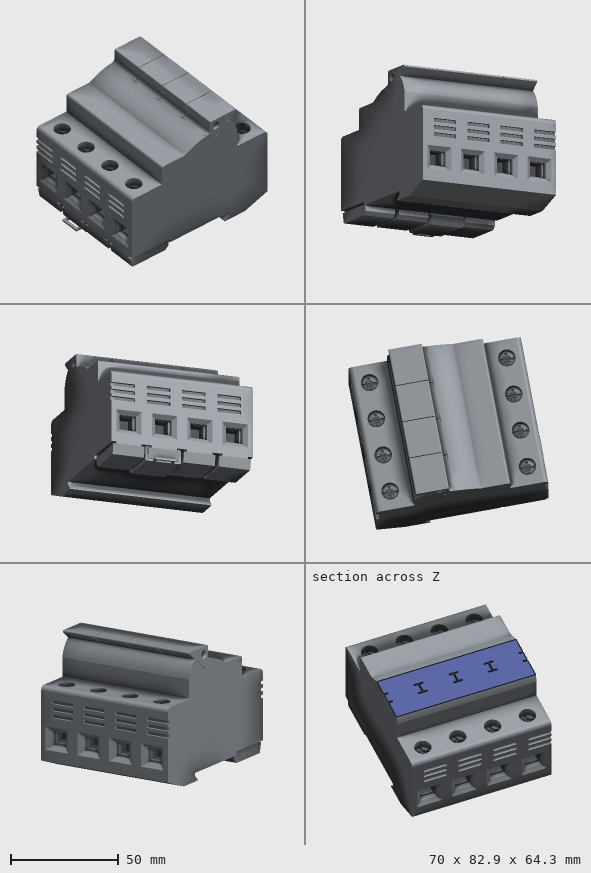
import cadquery as cq
import math


WIDTH = 70.0
POLES = 4
PITCH = WIDTH / POLES
POLE_EDGES = [i * PITCH for i in range(POLES + 1)]
POLE_CENTRES = [(i + 0.5) * PITCH for i in range(POLES)]
DEPTH = 81.15
TOP_Z = 63.3

SHOULDER_Z = 40.95
SHOULDER_RADIUS = 2.2
STEP_Z = 51.2
STEP_RADIUS = 1.2
TOWER_FRONT_Y = 17.9
TOWER_BACK_Y = 63.0
TOWER_ROOT_RADIUS = 0.4
TOWER_BACK_ARC_MID = (61.25, 55.2)
TOWER_BACK_ARC_END = (TOWER_BACK_Y, 50.4)
RAIL_Z = 4.2
FRONT_FOOT_RAKE = 1.1
FRONT_FOOT_BACK_Y = 22.6
FRONT_FOOT_CHAMFER = 1.8
BACK_FOOT_RISE = 5.0
BACK_FOOT_START_Y = 67.5
HOOK_TIP_Y = 55.5
HOOK_TIP_Z = 0.5
HOOK_ROOT_Y = 58.0
HOOK_ROOT_Z = 2.9
CREST_Y = 58.2
CREST_Z = 58.85
COVER_RADIUS = 36.5
COVER_CENTRE_Y = 51.2
COVER_CENTRE_Z = 20.4
COVER_END_Y = COVER_CENTRE_Y - math.sqrt(COVER_RADIUS**2 - (STEP_Z - COVER_CENTRE_Z) ** 2)

HANDLE_FRONT_Y = 46.75
HANDLE_BACK_Y = 62.5
HANDLE_LIP = 0.9
HANDLE_TIP = (48.1, 52.3)
HANDLE_SEAT_MID = (51.9, 54.4)
HANDLE_SEAT_END = (55.9, CREST_Z)
HANDLE_FOOT_Y = 44.6
HANDLE_FOOT_RADIUS = 1.6
HANDLE_EDGE_RADIUS = 0.6
HANDLE_GAP = 0.3
SEAT_CLEARANCE = 0.25
POLE_WALL = 2.1
SEAL_HOLE_Y = 50.4
SEAL_HOLE_Z = 59.5
SEAL_HOLE_RADIUS = 1.6
SEAL_RIM_RADIUS = 2.1

VENT_WIDTH = 11.6
VENT_HEIGHT = 1.7
VENT_DEPTH = 1.4
VENT_BOTTOM_Z = 26.4
VENT_SPACING = 3.4
VENT_ROWS = 3

FUNNEL_MOUTH = 12.4
FUNNEL_THROAT = 8.1
FUNNEL_DEPTH = 1.65
MOUTH_BOTTOM_Z = 10.5
MOUTH_TOP_Z = 21.8
THROAT_BOTTOM_Z = 12.4
THROAT_TOP_Z = 19.8
THROAT_DEPTH = 4.0
CLAMP_WIDTH = 6.5
CLAMP_BOTTOM_Z = 13.4
CLAMP_DEPTH = 9.95

SCREW_INSET = 8.2
SCREW_RADIUS = 4.1
SCREW_RIM_DEPTH = 4.3
SCREW_DOME = 1.1
CROSS_LENGTH = 6.5
CROSS_WIDTH = 1.3
CROSS_DEPTH = 2.1
SLOT_DEPTH = 0.8
STAR_LENGTH = 4.3
STAR_WIDTH = 0.75
PIT_RADIUS = 1.2
PIT_DEPTH = 2.9

GROOVE_TOP_Z = 6.05
GROOVE_STEP_Z = 5.05
GROOVE_HALF_WIDTH = 2.5
GROOVE_HALF_NECK = 1.0
LATCH_THICKNESS = 1.0
LATCH_POLE = 1
LATCH_FRONT_Y = 1.6
LATCH_BEND_RADIUS = 0.9
BEAK_TIP = (25.1, 2.5)
BEAK_TOP_Z = 3.5
BEAK_BOTTOM_Y = 21.8
FLANGE_WIDTH = 2.3
TAB_WIDTH = 10.1
TAB_REACH = 1.7
TAB_SLOT_WIDTH = 7.5
TAB_SLOT_FRONT_Y = -0.3


def box(x0, x1, y0, y1, z0, z1):
    """Box between opposite corners."""
    return cq.Workplane("XY").box(x1 - x0, y1 - y0, z1 - z0, centered=False).translate((x0, y0, z0))


def side_plane(x=0.0):
    """Sketch plane at the given X whose local axes are Y and Z."""
    return cq.Workplane("YZ", origin=(x, 0, 0))


def mirror_to_back(shape):
    """Copy of a front feature on the back half of the housing."""
    return shape.mirror("XZ", (0, DEPTH / 2, 0))


def cover_point(y):
    """Point on the arched cover at the given Y."""
    return y, COVER_CENTRE_Z + math.sqrt(COVER_RADIUS**2 - (y - COVER_CENTRE_Y) ** 2)


HANDLE_FOOT = cover_point(HANDLE_FOOT_Y)
COVER_TOP = cover_point(HANDLE_FRONT_Y - HANDLE_FOOT_RADIUS)


def make_housing():
    """Side outline with the front foot, the fixed rail hook and the arched cover."""
    root_top_z = SHOULDER_Z + TOWER_ROOT_RADIUS
    housing = (
        side_plane()
        .moveTo(FRONT_FOOT_RAKE, 0)
        .lineTo(0, GROOVE_STEP_Z)
        .lineTo(0, SHOULDER_Z)
        .lineTo(TOWER_FRONT_Y - TOWER_ROOT_RADIUS, SHOULDER_Z)
        .radiusArc((TOWER_FRONT_Y, root_top_z), -TOWER_ROOT_RADIUS)
        .lineTo(TOWER_FRONT_Y, STEP_Z)
        .lineTo(COVER_END_Y, STEP_Z)
        .radiusArc(COVER_TOP, COVER_RADIUS)
        .lineTo(*HANDLE_TIP)
        .lineTo(*HANDLE_SEAT_END)
        .lineTo(CREST_Y, CREST_Z)
        .threePointArc(TOWER_BACK_ARC_MID, TOWER_BACK_ARC_END)
        .lineTo(TOWER_BACK_Y, root_top_z)
        .radiusArc((TOWER_BACK_Y + TOWER_ROOT_RADIUS, SHOULDER_Z), -TOWER_ROOT_RADIUS)
        .lineTo(DEPTH, SHOULDER_Z)
        .lineTo(DEPTH, BACK_FOOT_RISE)
        .lineTo(BACK_FOOT_START_Y, 0)
        .lineTo(HOOK_TIP_Y, 0)
        .lineTo(HOOK_TIP_Y, HOOK_TIP_Z)
        .lineTo(HOOK_ROOT_Y, HOOK_ROOT_Z)
        .lineTo(HOOK_ROOT_Y, RAIL_Z)
        .lineTo(FRONT_FOOT_BACK_Y, RAIL_Z)
        .lineTo(FRONT_FOOT_BACK_Y, FRONT_FOOT_CHAMFER)
        .lineTo(FRONT_FOOT_BACK_Y - FRONT_FOOT_CHAMFER, 0)
        .close()
        .extrude(WIDTH)
    )
    for y in (0, DEPTH):
        edge = cq.selectors.NearestToPointSelector((WIDTH / 2, y, SHOULDER_Z))
        housing = housing.edges(edge).fillet(SHOULDER_RADIUS)
    edge = cq.selectors.NearestToPointSelector((WIDTH / 2, TOWER_FRONT_Y, STEP_Z))
    return housing.edges(edge).fillet(STEP_RADIUS)


def make_handle(x, length):
    """Swing-out fuse carrier profile, with its foot down in the housing, extruded from the given X."""
    handle = (
        side_plane(x)
        .moveTo(*HANDLE_FOOT)
        .radiusArc(COVER_TOP, COVER_RADIUS)
        .radiusArc((HANDLE_FRONT_Y, COVER_TOP[1] + HANDLE_FOOT_RADIUS), -HANDLE_FOOT_RADIUS)
        .lineTo(HANDLE_FRONT_Y, TOP_Z)
        .lineTo(HANDLE_BACK_Y, TOP_Z)
        .lineTo(HANDLE_BACK_Y, TOP_Z - HANDLE_LIP)
        .lineTo(CREST_Y, CREST_Z)
        .lineTo(*HANDLE_SEAT_END)
        .threePointArc(HANDLE_SEAT_MID, HANDLE_TIP)
        .close()
        .extrude(length)
    )
    return handle.faces(">Z").edges("|X").fillet(HANDLE_EDGE_RADIUS)


def make_seal_hole():
    """Sealing hole through all handles along X, chamfered at both ends."""
    hole = side_plane().center(SEAL_HOLE_Y, SEAL_HOLE_Z).circle(SEAL_HOLE_RADIUS).extrude(WIDTH)
    chamfer = SEAL_RIM_RADIUS - SEAL_HOLE_RADIUS
    for x, direction in ((0, 1), (WIDTH, -1)):
        rim = cq.Solid.makeCone(
            SEAL_RIM_RADIUS,
            SEAL_HOLE_RADIUS,
            chamfer,
            cq.Vector(x, SEAL_HOLE_Y, SEAL_HOLE_Z),
            cq.Vector(direction, 0, 0),
        )
        hole = hole.union(cq.Workplane(rim))
    return hole


def make_seat_clearance():
    """Thin gap around the handle feet, open to the cover, in the walls on both sides of each pole."""
    band = (
        side_plane()
        .moveTo(*HANDLE_FOOT)
        .lineTo(*HANDLE_TIP)
        .threePointArc(HANDLE_SEAT_MID, HANDLE_SEAT_END)
        .lineTo(CREST_Y, CREST_Z)
        .lineTo(CREST_Y, CREST_Z - SEAT_CLEARANCE)
        .lineTo(HANDLE_SEAT_END[0], CREST_Z - SEAT_CLEARANCE)
        .threePointArc(
            (HANDLE_SEAT_MID[0], HANDLE_SEAT_MID[1] - SEAT_CLEARANCE),
            (HANDLE_TIP[0], HANDLE_TIP[1] - SEAT_CLEARANCE),
        )
        .lineTo(*cover_point(HANDLE_FOOT_Y - SEAT_CLEARANCE))
        .lineTo(HANDLE_FOOT_Y - SEAT_CLEARANCE / 2, HANDLE_FOOT[1] + SEAT_CLEARANCE)
        .close()
        .extrude(WIDTH)
    )
    walls = cq.Workplane("XY")
    for x in POLE_EDGES:
        walls = walls.add(box(x - POLE_WALL, x + POLE_WALL, 0, DEPTH, 0, TOP_Z))
    return band.intersect(walls.combine())


def make_vents():
    """Rows of cooling slots in the front face; the first pole's open to the left side."""
    vents = cq.Workplane("XY")
    for x in POLE_EDGES[:-1]:
        for row in range(VENT_ROWS):
            z = VENT_BOTTOM_Z + row * VENT_SPACING
            vents = vents.add(box(x, x + VENT_WIDTH, 0, VENT_DEPTH, z, z + VENT_HEIGHT))
    return vents.combine()


def make_terminal(x):
    """Stepped wire entry with a tapered mouth."""
    funnel = (
        cq.Workplane("XZ")
        .center(x, (MOUTH_BOTTOM_Z + MOUTH_TOP_Z) / 2)
        .rect(FUNNEL_MOUTH, MOUTH_TOP_Z - MOUTH_BOTTOM_Z)
        .workplane(offset=-FUNNEL_DEPTH)
        .rect(FUNNEL_THROAT, THROAT_TOP_Z - THROAT_BOTTOM_Z)
        .loft(ruled=True)
    )
    half_throat = FUNNEL_THROAT / 2
    half_clamp = CLAMP_WIDTH / 2
    throat = box(x - half_throat, x + half_throat, FUNNEL_DEPTH, THROAT_DEPTH, THROAT_BOTTOM_Z, THROAT_TOP_Z)
    clamp = box(x - half_clamp, x + half_clamp, THROAT_DEPTH, CLAMP_DEPTH, CLAMP_BOTTOM_Z, THROAT_TOP_Z)
    return funnel.union(throat).union(clamp)


def make_screw_well():
    """Well down to a domed cross-slot screw head, centred on the Z axis."""
    rim_z = SHOULDER_Z - SCREW_RIM_DEPTH
    dome_z = rim_z + SCREW_DOME
    dome_radius = (SCREW_RADIUS**2 + SCREW_DOME**2) / (2 * SCREW_DOME)
    well = (
        cq.Workplane("XZ")
        .moveTo(0, SHOULDER_Z)
        .lineTo(SCREW_RADIUS, SHOULDER_Z)
        .lineTo(SCREW_RADIUS, rim_z)
        .radiusArc((0, dome_z), -dome_radius)
        .close()
        .revolve(360, (0, 0, 0), (0, 1, 0))
    )
    slot_height = SCREW_DOME + SLOT_DEPTH
    slot = cq.Workplane("XY", origin=(0, 0, dome_z - slot_height)).circle(SCREW_RADIUS).extrude(slot_height)
    slot = slot.intersect(cq.Workplane("XY").box(CROSS_WIDTH, 2 * SCREW_RADIUS, 2 * SHOULDER_Z))
    well = well.union(slot)
    recess_plane = cq.Workplane("XY", origin=(0, 0, dome_z - CROSS_DEPTH))
    bars = [(CROSS_LENGTH, CROSS_WIDTH, angle) for angle in (0, 90)]
    bars += [(STAR_LENGTH, STAR_WIDTH, angle) for angle in (45, 135)]
    for length, width, angle in bars:
        bar = recess_plane.rect(length, width).extrude(CROSS_DEPTH)
        well = well.union(bar.rotate((0, 0, 0), (0, 0, 1), angle))
    pit = cq.Workplane("XY", origin=(0, 0, dome_z - PIT_DEPTH)).circle(PIT_RADIUS).extrude(PIT_DEPTH)
    return well.union(pit)


def make_foot_groove(x):
    """T-shaped groove under the front foot at a pole boundary."""
    wide = box(
        x - GROOVE_HALF_WIDTH, x + GROOVE_HALF_WIDTH, 0, FRONT_FOOT_BACK_Y, GROOVE_STEP_Z, GROOVE_TOP_Z
    )
    neck = box(x - GROOVE_HALF_NECK, x + GROOVE_HALF_NECK, 0, FRONT_FOOT_BACK_Y, 0, GROOVE_STEP_Z)
    return wide.union(neck)


def make_latch():
    """Sliding latch: a folded channel around one pole's foot, a rail beak and a pull tab."""
    left = POLE_EDGES[LATCH_POLE]
    right = left + PITCH
    centre = POLE_CENTRES[LATCH_POLE]
    inner_left = left + LATCH_THICKNESS
    inner_right = right - LATCH_THICKNESS
    back = FRONT_FOOT_BACK_Y

    outline = (
        side_plane(left)
        .moveTo(LATCH_FRONT_Y, -LATCH_THICKNESS)
        .lineTo(LATCH_FRONT_Y, GROOVE_TOP_Z)
        .lineTo(back, GROOVE_TOP_Z)
        .lineTo(back, BEAK_TOP_Z)
        .lineTo(*BEAK_TIP)
        .lineTo(BEAK_BOTTOM_Y, -LATCH_THICKNESS)
        .close()
        .extrude(PITCH)
    )
    latch = outline.faces("<Z").edges("|Y").fillet(LATCH_BEND_RADIUS)
    latch = latch.faces(">Z").edges("|Y").fillet(LATCH_BEND_RADIUS)
    foot_space = (
        side_plane(inner_left)
        .moveTo(LATCH_FRONT_Y, 0)
        .lineTo(LATCH_FRONT_Y, GROOVE_STEP_Z)
        .lineTo(back, GROOVE_STEP_Z)
        .lineTo(back, FRONT_FOOT_CHAMFER)
        .lineTo(back - FRONT_FOOT_CHAMFER, 0)
        .close()
        .extrude(inner_right - inner_left)
    )
    opening = box(
        left + FLANGE_WIDTH, right - FLANGE_WIDTH, LATCH_FRONT_Y, back, GROOVE_STEP_Z, GROOVE_TOP_Z
    )
    latch = latch.cut(foot_space).cut(opening)

    half_tab = TAB_WIDTH / 2
    half_slot = TAB_SLOT_WIDTH / 2
    tab = box(centre - half_tab, centre + half_tab, -TAB_REACH, LATCH_FRONT_Y, -LATCH_THICKNESS, 0)
    slot = box(
        centre - half_slot, centre + half_slot, TAB_SLOT_FRONT_Y, LATCH_FRONT_Y, -LATCH_THICKNESS, 0
    )
    return latch.union(tab.cut(slot))


result = make_housing().union(make_handle(0, WIDTH)).cut(make_seat_clearance())
for edge_x in POLE_EDGES[1:-1]:
    result = result.cut(make_handle(edge_x - HANDLE_GAP / 2, HANDLE_GAP))
result = result.cut(make_seal_hole())

vents = make_vents()
result = result.cut(vents).cut(mirror_to_back(vents))

screw_well = make_screw_well()
for pole_x in POLE_CENTRES:
    terminal = make_terminal(pole_x)
    result = result.cut(terminal).cut(mirror_to_back(terminal))
    for screw_y in (SCREW_INSET, DEPTH - SCREW_INSET):
        result = result.cut(screw_well.translate((pole_x, screw_y, 0)))

for edge_x in POLE_EDGES:
    result = result.cut(make_foot_groove(edge_x))

result = result.union(make_latch())